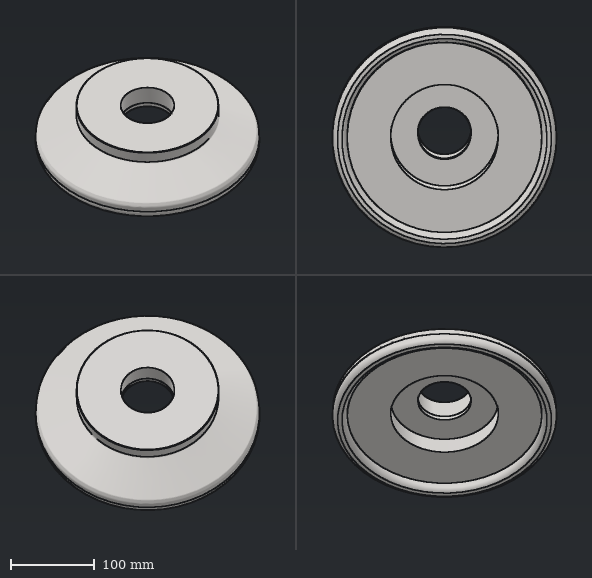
import cadquery as cq
import math

outer_diameter = 268.2
total_height = 63.0

ring_section_diameter = 18.0
ring_section_radius = ring_section_diameter / 2
ring_center_radius = outer_diameter / 2 - ring_section_radius
ring_center_height = 8.5

hub_radius = 267.0 / 2
hub_bottom = 10.7
rim_side_top = 18.8
bevel_top_radius = 130.5
bevel_top = 23.0
rim_lower_blend = 4.3
rim_upper_blend = 2.1
neck_top_chamfer = 0.67
neck_radius = 170.0 / 2
neck_bottom = 46.7
neck_foot_fillet = 2.0

bore_diameter = 63.8
lower_bore_diameter = 63.5
bore_step_height = 38.5
recess_diameter = 128.5
recess_floor = 32.7


def circle_edges(body, radius, height):
    """Select the horizontal circular edge of the given radius and height about Z."""
    tolerance = 0.03
    reach = radius + tolerance
    corner_low = (-reach, -reach, height - tolerance)
    corner_high = (reach, reach, height + tolerance)
    return body.edges(cq.selectors.BoxSelector(corner_low, corner_high, boundingbox=True))


def cylinder(diameter, bottom, top):
    return cq.Workplane("XY").workplane(offset=bottom).circle(diameter / 2).extrude(top - bottom)


def make_ring():
    """Revolved circle section with a narrow flat on the base plane."""
    flat_half_width = math.sqrt(ring_section_radius**2 - ring_center_height**2)
    return (
        cq.Workplane("XZ")
        .moveTo(ring_center_radius + flat_half_width, 0)
        .threePointArc(
            (ring_center_radius, ring_center_height + ring_section_radius),
            (ring_center_radius - flat_half_width, 0),
        )
        .close()
        .revolve(360, (0, 0, 0), (0, 1, 0))
    )


def make_hub_blank():
    """Revolved outside shape with its edges blended."""
    blank = (
        cq.Workplane("XZ")
        .moveTo(0, hub_bottom)
        .lineTo(hub_radius, hub_bottom)
        .lineTo(hub_radius, rim_side_top)
        .lineTo(bevel_top_radius, bevel_top)
        .lineTo(neck_radius, neck_bottom)
        .lineTo(neck_radius, total_height)
        .lineTo(0, total_height)
        .close()
        .revolve(360, (0, 0, 0), (0, 1, 0))
    )
    blank = circle_edges(blank, hub_radius, rim_side_top).fillet(rim_lower_blend)
    blank = circle_edges(blank, bevel_top_radius, bevel_top).fillet(rim_upper_blend)
    blank = circle_edges(blank, neck_radius, neck_bottom).fillet(neck_foot_fillet)
    return circle_edges(blank, neck_radius, total_height).chamfer(neck_top_chamfer)


def make_hub(ring):
    """Hub with its recess, stepped bore and a groove seating the ring."""
    hub = make_hub_blank()
    hub = hub.cut(cylinder(recess_diameter, hub_bottom, recess_floor))
    hub = hub.cut(cylinder(lower_bore_diameter, recess_floor, bore_step_height))
    hub = hub.cut(cylinder(bore_diameter, bore_step_height, total_height))
    return hub.cut(ring)


ring = make_ring()
hub = make_hub(ring)

result = cq.Compound.makeCompound([*hub.solids().vals(), *ring.solids().vals()])